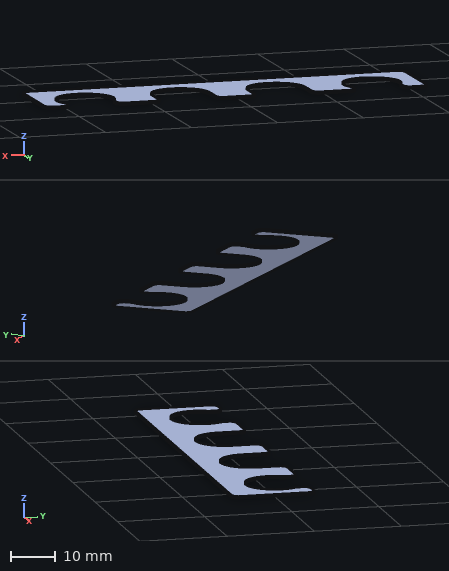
import cadquery as cq

length = 88.9
width = 19.0
thickness = 0.5
corner_radius = 1.6

cutout_pitch = length / 4
bore_diameter = 13.2
bore_offset = 6.7
neck_width = 11.2

bore_y = width / 2 - bore_offset
outer_x = 1.5 * cutout_pitch
inner_x = 0.5 * cutout_pitch


def cutout(center_x, mouth_width):
    """Round bore opened to the back edge by a straight mouth."""
    bore = (
        cq.Workplane("XY")
        .center(center_x, bore_y)
        .circle(bore_diameter / 2)
        .extrude(thickness)
    )
    mouth = (
        cq.Workplane("XY")
        .center(center_x, bore_y + bore_offset / 2)
        .rect(mouth_width, bore_offset)
        .extrude(thickness)
    )
    return bore.union(mouth)


plate = cq.Workplane("XY").rect(length, width).extrude(thickness)

for side in (-1, 1):
    plate = plate.cut(cutout(side * outer_x, neck_width))
    plate = plate.cut(cutout(side * inner_x, bore_diameter))

front_corners = plate.edges("|Z and <Y")
back_corners = plate.edges("|Z and >Y")
result = plate.newObject(front_corners.vals() + back_corners.vals()).fillet(corner_radius)